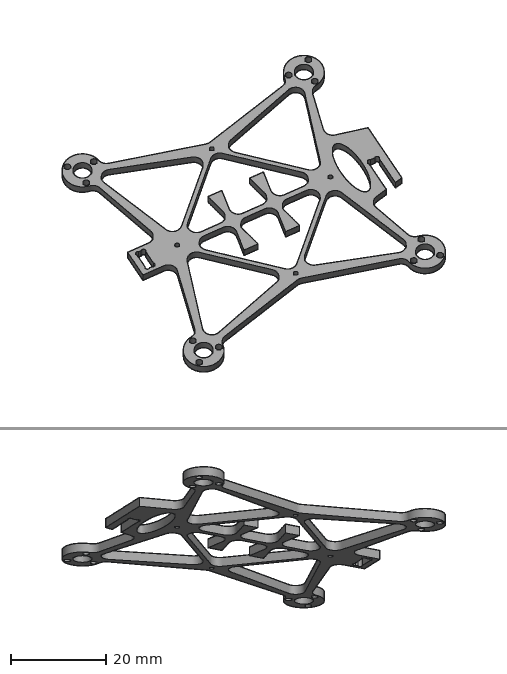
import cadquery as cq
import math

thickness = 2.0
corner_radius = 2.0

mount_offset = 26.45
mount_radius = 4.3
shaft_hole_diameter = 4.0
motor_screw_diameter = 1.4
motor_screw_circle_radius = 3.3
motor_screw_count = 3
arm_base = 19.9
arm_slope = math.tan(math.radians(15))
arm_window_base = 16.9
arm_window_slope = 0.33

board_screw_offset = 18.3
board_screw_diameter = 1.0
brace_width = 1.0

spine_half_width = 0.6
paddle_offset = 5.0
paddle_reach = 7.9
paddle_end_half_width = 1.7
paddle_slope = 0.19

upper_tab_top = 31.4
upper_tab_root = 21.1
upper_tab_half_width = 7.4
upper_tab_slope = 0.24
ellipse_center_y = 23.35
ellipse_half_width = 6.95
ellipse_half_height = 2.55
slot_left = 0.1
slot_bottom = 27.1
slot_top = 29.6

lower_tab_half_width = 3.35
lower_tab_bottom = -28.35
lower_window_half_width = 2.35
lower_window_bottom = -26.9
lower_window_top = -24.9

relief_diameter = 1.0

brace_inner_reach = board_screw_offset - brace_width / math.sqrt(2)
brace_outer_reach = board_screw_offset + brace_width / math.sqrt(2)


def prism(points):
    """Plate-thick block with a straight-sided outline."""
    return cq.Workplane("XY").polyline(points).close().extrude(thickness)


def rectangle(left, bottom, right, top):
    return prism([(left, bottom), (right, bottom), (right, top), (left, top)])


def cylinders(centers, diameter):
    return cq.Workplane("XY").pushPoints(centers).circle(diameter / 2).extrude(thickness)


def round_upright_edges(body, left, bottom, right, top):
    """Fillet the upright edges that lie inside a rectangle of the plate."""
    area = cq.selectors.BoxSelector((left, bottom, 0), (right, top, thickness))
    return body.edges("|Z").edges(area).fillet(corner_radius)


def corner_reliefs(corners):
    """Round reliefs that pass through each corner, shifted toward the middle of the window."""
    shift = relief_diameter / 2 / math.sqrt(2)
    centers = [(x + x_side * shift, y + y_side * shift) for x, y, x_side, y_side in corners]
    return cylinders(centers, relief_diameter)


def make_arm():
    """Arm of the +X +Y quadrant with its motor mount and triangular window."""
    tip = arm_base / (1 - arm_slope)
    blade = prism([(0, 0), (arm_base, 0), (tip, tip), (0, arm_base)])
    mount = cylinders([(mount_offset, mount_offset)], 2 * mount_radius)
    arm = blade.union(mount)
    arm = round_upright_edges(arm, arm_base, arm_base, mount_offset, mount_offset)

    peak = arm_window_base / (1 - arm_window_slope)
    foot_near = (brace_outer_reach - arm_window_base) / (1 + arm_window_slope)
    foot_far = brace_outer_reach - foot_near
    window = prism([(foot_near, foot_far), (foot_far, foot_near), (peak, peak)])
    arm = arm.cut(window.edges("|Z").fillet(corner_radius))

    screw_centers = []
    for index in range(motor_screw_count):
        angle = math.radians(45 + index * 360 / motor_screw_count)
        x = mount_offset + motor_screw_circle_radius * math.cos(angle)
        y = mount_offset + motor_screw_circle_radius * math.sin(angle)
        screw_centers.append((x, y))
    arm = arm.cut(cylinders([(mount_offset, mount_offset)], shaft_hole_diameter))
    return arm.cut(cylinders(screw_centers, motor_screw_diameter))


def make_frame():
    """Four arms joined at the centre, with the tabs blended into them."""
    arm = make_arm()
    frame = arm
    for quarter_turn in (90, 180, 270):
        frame = frame.union(arm.rotate((0, 0, 0), (0, 0, 1), quarter_turn))

    upper_root_half_width = upper_tab_half_width + upper_tab_slope * (upper_tab_top - upper_tab_root)
    upper_tab = prism([
        (-upper_root_half_width, upper_tab_root),
        (0, board_screw_offset),
        (upper_root_half_width, upper_tab_root),
        (upper_tab_half_width, upper_tab_top),
        (-upper_tab_half_width, upper_tab_top),
    ])
    lower_tab_top = -board_screw_offset
    lower_tab = rectangle(-lower_tab_half_width, lower_tab_bottom, lower_tab_half_width, lower_tab_top)
    frame = frame.union(upper_tab).union(lower_tab)

    margin = 0.6
    upper_reach = upper_root_half_width
    lower_reach = lower_tab_half_width + margin
    waist_reach = arm_base + margin
    frame = round_upright_edges(frame, -upper_reach, arm_base, upper_reach, ellipse_center_y)
    frame = round_upright_edges(frame, -lower_reach, lower_window_top, lower_reach, -arm_base)
    return round_upright_edges(frame, -waist_reach, -margin, waist_reach, margin)


def make_diamond_windows():
    """Two triangular windows, left and right of the spine, inside the braces."""
    spine_end = brace_inner_reach - spine_half_width
    right = prism([
        (spine_half_width, -spine_end),
        (brace_inner_reach, 0),
        (spine_half_width, spine_end),
    ])
    right = right.edges("|Z").fillet(corner_radius)
    return right.union(right.mirror("YZ"))


def make_paddles(center_y):
    """Pair of flared paddles with a stub of the spine, rounded where they cross."""
    waist_half_width = paddle_end_half_width - paddle_slope * paddle_reach
    paddles = prism([
        (-paddle_reach, center_y - paddle_end_half_width),
        (0, center_y - waist_half_width),
        (paddle_reach, center_y - paddle_end_half_width),
        (paddle_reach, center_y + paddle_end_half_width),
        (0, center_y + waist_half_width),
        (-paddle_reach, center_y + paddle_end_half_width),
    ])
    stub_low = center_y - paddle_offset
    stub_high = center_y + paddle_offset
    stub = rectangle(-spine_half_width, stub_low, spine_half_width, stub_high)
    cross = stub.union(paddles)
    reach = 2 * spine_half_width
    low = center_y - paddle_end_half_width
    high = center_y + paddle_end_half_width
    return round_upright_edges(cross, -reach, low, reach, high)


def make_slot():
    """Slot in the upper tab, open to the right, with reliefs at its closed end."""
    slot = rectangle(slot_left, slot_bottom, 2 * upper_tab_half_width, slot_top)
    return slot.union(corner_reliefs([
        (slot_left, slot_bottom, 1, 1),
        (slot_left, slot_top, 1, -1),
    ]))


def make_lower_window():
    """Rectangular window in the lower tab, with a relief in every corner."""
    half_width = lower_window_half_width
    window = rectangle(-half_width, lower_window_bottom, half_width, lower_window_top)
    corners = []
    for side in (-1, 1):
        corners.append((side * half_width, lower_window_bottom, -side, 1))
        corners.append((side * half_width, lower_window_top, -side, -1))
    return window.union(corner_reliefs(corners))


ellipse = (
    cq.Workplane("XY")
    .center(0, ellipse_center_y)
    .ellipse(ellipse_half_width, ellipse_half_height)
    .extrude(thickness)
)
board_screw_centers = [
    (board_screw_offset, 0),
    (0, board_screw_offset),
    (-board_screw_offset, 0),
    (0, -board_screw_offset),
]

plate = make_frame().cut(make_diamond_windows())
for paddle_y in (-paddle_offset, paddle_offset):
    plate = plate.union(make_paddles(paddle_y))
plate = plate.cut(ellipse).cut(make_slot()).cut(make_lower_window())
result = plate.cut(cylinders(board_screw_centers, board_screw_diameter))